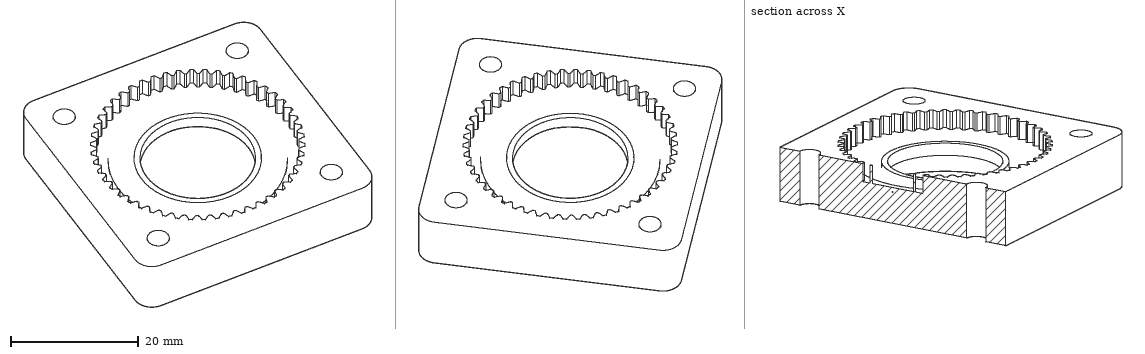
import cadquery as cq
import math

SIDE = 42.0
HEIGHT = 9.0
CORNER_RADIUS = 3.0

HOLE_DIAMETER = 3.5
HOLE_SPACING = 31.0

TOOTH_COUNT = 50
ROOT_DIAMETER = 33.73
TIP_DIAMETER = 31.88
TOOTH_ROOT_WIDTH = 1.55
TOOTH_MIDDLE_WIDTH = 1.0
TOOTH_TIP_WIDTH = 0.38
GEAR_DEPTH = 3.0

RECESS_DIAMETER = 28.22
RECESS_DEPTH = 4.5
COLLAR_DIAMETER = 20.08
EDGE_RADIUS = 0.5

BORE_DIAMETER = 18.15
FLARE_HEIGHT = 4.0

GEAR_FLOOR = HEIGHT - GEAR_DEPTH
RECESS_FLOOR = HEIGHT - RECESS_DEPTH
ROOT_RADIUS = ROOT_DIAMETER / 2
TIP_RADIUS = TIP_DIAMETER / 2
RECESS_RADIUS = RECESS_DIAMETER / 2
COLLAR_RADIUS = COLLAR_DIAMETER / 2
BORE_RADIUS = BORE_DIAMETER / 2


def mounting_plate():
    plate = cq.Workplane("XY").rect(SIDE, SIDE).extrude(HEIGHT)
    plate = plate.edges("|Z").fillet(CORNER_RADIUS)
    holes = (
        cq.Workplane("XY")
        .rect(HOLE_SPACING, HOLE_SPACING, forConstruction=True)
        .vertices()
        .circle(HOLE_DIAMETER / 2)
        .extrude(HEIGHT)
    )
    return plate.cut(holes)


def gear_pocket():
    return cq.Workplane("XY").workplane(offset=GEAR_FLOOR).circle(ROOT_RADIUS).extrude(GEAR_DEPTH)


def annular_recess():
    """Ring-shaped cut: rounded upper lip, rounded floor corners."""
    bulge = EDGE_RADIUS * (1 - math.sqrt(0.5))
    lip_radius = RECESS_RADIUS + EDGE_RADIUS
    profile = (
        cq.Workplane("XZ")
        .moveTo(COLLAR_RADIUS, GEAR_FLOOR)
        .lineTo(COLLAR_RADIUS, RECESS_FLOOR + EDGE_RADIUS)
        .threePointArc(
            (COLLAR_RADIUS + bulge, RECESS_FLOOR + bulge),
            (COLLAR_RADIUS + EDGE_RADIUS, RECESS_FLOOR),
        )
        .lineTo(RECESS_RADIUS - EDGE_RADIUS, RECESS_FLOOR)
        .threePointArc(
            (RECESS_RADIUS - bulge, RECESS_FLOOR + bulge),
            (RECESS_RADIUS, RECESS_FLOOR + EDGE_RADIUS),
        )
        .lineTo(RECESS_RADIUS, GEAR_FLOOR - EDGE_RADIUS)
        .threePointArc(
            (RECESS_RADIUS + bulge, GEAR_FLOOR - bulge),
            (lip_radius, GEAR_FLOOR),
        )
        .close()
    )
    return profile.revolve(360, (0, 0, 0), (0, 1, 0))


def flared_bore():
    """Straight bore above a 45 degree cone that opens downwards."""
    profile = cq.Workplane("XZ").polyline([
        (0, 0),
        (BORE_RADIUS + FLARE_HEIGHT, 0),
        (BORE_RADIUS, FLARE_HEIGHT),
        (BORE_RADIUS, GEAR_FLOOR),
        (0, GEAR_FLOOR),
    ]).close()
    return profile.revolve(360, (0, 0, 0), (0, 1, 0))


def gear_tooth(angle):
    """Tooth pointing inwards from the pocket wall, with curved flanks."""
    half_root = TOOTH_ROOT_WIDTH / 2
    half_middle = TOOTH_MIDDLE_WIDTH / 2
    half_tip = TOOTH_TIP_WIDTH / 2
    flank_end = math.sqrt(ROOT_RADIUS**2 - half_root**2)
    middle = (TIP_RADIUS + flank_end) / 2
    tooth = (
        cq.Workplane("XY")
        .workplane(offset=GEAR_FLOOR)
        .moveTo(TIP_RADIUS, -half_tip)
        .threePointArc((middle, -half_middle), (flank_end, -half_root))
        .threePointArc((ROOT_RADIUS, 0), (flank_end, half_root))
        .threePointArc((middle, half_middle), (TIP_RADIUS, half_tip))
        .close()
        .extrude(GEAR_DEPTH)
    )
    return tooth.rotate((0, 0, 0), (0, 0, 1), angle)


housing = mounting_plate().cut(gear_pocket()).cut(annular_recess()).cut(flared_bore())

tooth_pitch = 360 / TOOTH_COUNT
teeth = [gear_tooth(i * tooth_pitch).val() for i in range(TOOTH_COUNT)]

result = cq.Workplane(housing.val().fuse(*teeth).Solids()[0])